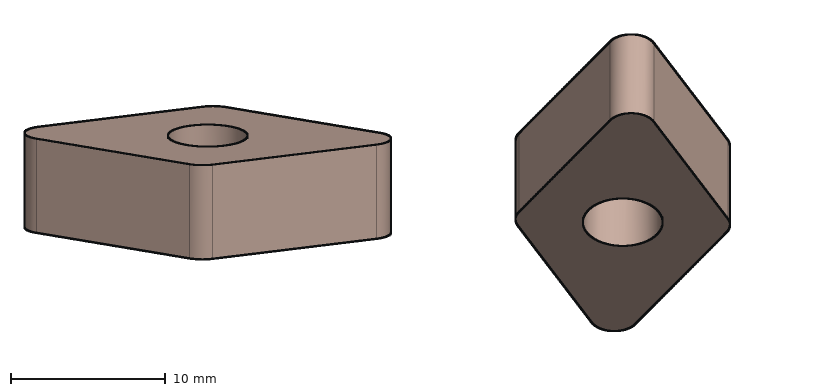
import cadquery as cq
import math

length = 21.45
width = 12.7
thickness = width / 2
acute_angle = math.radians(55)
hole_diameter = 5.17

side = width / math.sin(acute_angle)
lean = width / math.tan(acute_angle)
sharp_length = side + lean

trim_per_radius = 1 / math.tan(acute_angle / 2) - 1
corner_radius = (sharp_length - length) / 2 / trim_per_radius

outline = [
    (-sharp_length / 2, -width / 2),
    (-sharp_length / 2 + side, -width / 2),
    (sharp_length / 2, width / 2),
    (sharp_length / 2 - side, width / 2),
]

body = cq.Workplane("XY").polyline(outline).close().extrude(thickness)
body = body.edges("|Z").fillet(corner_radius)

result = body.faces(">Z").workplane(origin=(0, 0, thickness)).hole(hole_diameter)